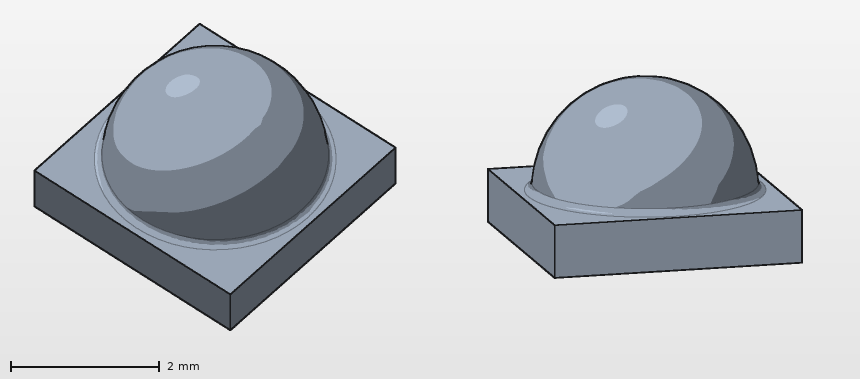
import cadquery as cq

base_side = 3.45
overall_height = 2.26
dome_radius = 1.53
fillet_radius = 0.1

base_height = overall_height - dome_radius


def make_base():
    """Square plate standing on Z = 0 and centred on the Z axis."""
    return cq.Workplane("XY").box(base_side, base_side, base_height, centered=(True, True, False))


def add_dome(body):
    """Add the hemispherical dome; the lower half of its sphere is cut away."""
    dome = (
        cq.Workplane("XY")
        .workplane(offset=base_height)
        .sphere(dome_radius, angle1=0, angle2=90)
    )
    return body.union(dome)


def round_dome_foot(body):
    """Blend the foot of the dome into the top face of the base."""
    return body.edges("%CIRCLE").edges("<Z").fillet(fillet_radius)


result = round_dome_foot(add_dome(make_base()))